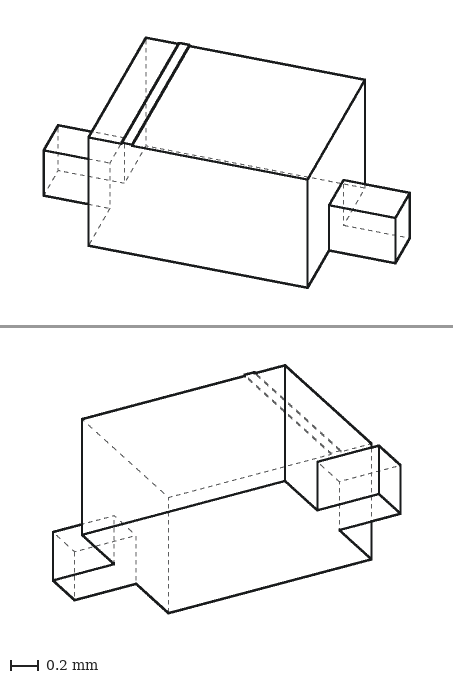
import cadquery as cq

overall_length = 2.65
overall_height = 0.96

body_length = 1.65
body_width = 1.3
band_height = 0.01
body_height = overall_height - band_height

lead_width = 0.329
lead_height = 0.398

band_length = 0.08
band_offset = 0.25


def block(length, width, height):
    """Block centred in X and Y, standing on Z = 0."""
    return cq.Workplane("XY").box(length, width, height, centered=(True, True, False))


body = block(body_length, body_width, body_height)

leads = block(overall_length, lead_width, lead_height)

band_center_x = -body_length / 2 + band_offset + band_length / 2
band = block(band_length, body_width, band_height).translate((band_center_x, 0, body_height))

result = body.union(leads).union(band)